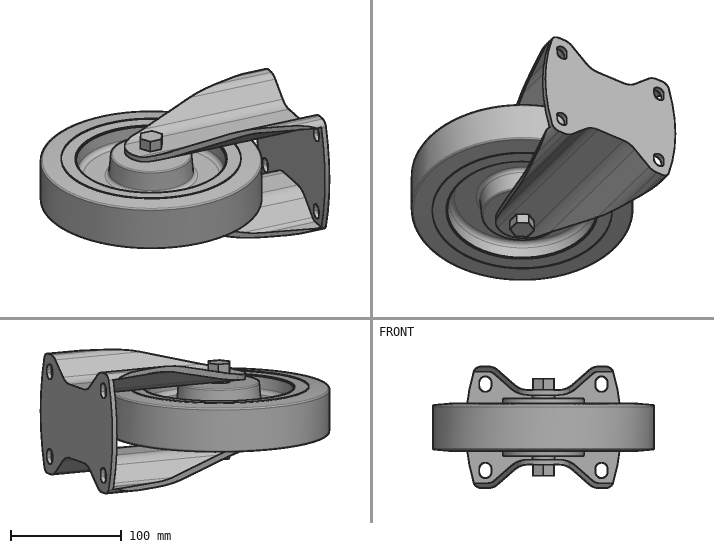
import cadquery as cq
import math


wheel_radius = 100.0
overall_length = 245.0
overall_height = 110.0
plate_y = overall_length - wheel_radius
sheet = 4.7

leg_base_z = 33.8
leg_top_z = overall_height / 2
valley_half_width = 14.0
valley_radius = 18.5
crest_radius = 12.7
bend_angle = math.radians(41.3)
leg_half_width = 63.0
shoulder_z = leg_top_z - sheet
shoulder_radius = 7.5

tip_radius = 24.0
taper_angle = math.radians(15.7)

plate_half_width = 70.3
slot_width = 10.8
slot_length = 13.7
slot_x = 52.5
slot_z = 39.0

tread_edge_z = 20.0
tread_edge_fillet = 1.5
tyre_z = 21.8
rim_z = 21.0
rim_outer_radius = 162.5 / 2
rim_top_radius = 67.5
rim_base_radius = 66.2
rim_chamfer = 1.0
web_z = 5.0
web_outer_fillet = 5.0
web_inner_fillet = 3.7
hub_z = 26.2
hub_top_radius = 36.5
hub_base_radius = 38.5
hub_edge_fillet = 1.2

axle_diameter = 20.0
hex_across_flats = 19.0
hex_z = 43.9


def polar(center, radius, angle):
    """Point at a radius from a center, with the angle taken from straight up."""
    return (center[0] + radius * math.sin(angle), center[1] + radius * math.cos(angle))


def leg_wire(depth):
    """Open half outline from the mid-plane to the shoulder, at a depth below the leg's outer face."""
    wall_rise = leg_top_z - leg_base_z - (valley_radius + crest_radius) * (1 - math.cos(bend_angle))
    wall_run = wall_rise / math.tan(bend_angle)
    valley_center = (valley_half_width, leg_base_z + valley_radius)
    crest_x = valley_half_width + (valley_radius + crest_radius) * math.sin(bend_angle) + wall_run
    crest_center = (crest_x, leg_top_z - crest_radius)
    valley = valley_radius + depth
    crest = crest_radius - depth
    return (
        cq.Workplane("XZ", origin=(0, plate_y, 0))
        .lineTo(0, leg_base_z - depth)
        .lineTo(valley_half_width, leg_base_z - depth)
        .threePointArc(
            polar(valley_center, valley, math.pi - bend_angle / 2),
            polar(valley_center, valley, math.pi - bend_angle),
        )
        .lineTo(*polar(crest_center, crest, -bend_angle))
        .threePointArc(
            polar(crest_center, crest, -bend_angle / 2),
            polar(crest_center, crest, 0),
        )
    )


def inner_block(length):
    """Quarter of the space between the legs, from the plate's rear face towards -Y."""
    return (
        leg_wire(sheet)
        .lineTo(leg_half_width, shoulder_z)
        .lineTo(leg_half_width, 0)
        .close()
        .extrude(length)
    )


def leg_outline():
    """Flat outline of a leg, tall enough to trim the folded sheet."""
    tangent_x = tip_radius * math.cos(taper_angle)
    tangent_y = -tip_radius * math.sin(taper_angle)
    taper_end_y = tangent_y + (leg_half_width - tangent_x) / math.tan(taper_angle)
    return (
        cq.Workplane("XY")
        .moveTo(-leg_half_width, plate_y)
        .lineTo(-leg_half_width, taper_end_y)
        .lineTo(-tangent_x, tangent_y)
        .threePointArc((0, -tip_radius), (tangent_x, tangent_y))
        .lineTo(leg_half_width, taper_end_y)
        .lineTo(leg_half_width, plate_y)
        .close()
        .extrude(overall_height)
    )


def half_leg():
    """Half of the upper leg, on the +X side."""
    length = plate_y + tip_radius
    center_z = leg_top_z - shoulder_radius
    end_angle = math.acos((shoulder_z - center_z) / shoulder_radius)
    center = (leg_half_width - shoulder_radius * math.sin(end_angle), center_z)
    outer_block = (
        leg_wire(0)
        .lineTo(*polar(center, shoulder_radius, 0))
        .threePointArc(
            polar(center, shoulder_radius, end_angle / 2),
            (leg_half_width, shoulder_z),
        )
        .lineTo(leg_half_width, 0)
        .close()
        .extrude(length)
    )
    return outer_block.cut(inner_block(length)).intersect(leg_outline())


def quarter_plate():
    """Slotted plate quarter filling the space between the legs, with a bowed side."""
    bulge = plate_half_width - leg_half_width
    side_radius = (shoulder_z**2 + bulge**2) / (2 * bulge)
    bowed_side = (
        cq.Workplane("XZ", origin=(plate_half_width - side_radius, plate_y, 0))
        .circle(side_radius)
        .extrude(sheet)
    )
    side_strip = (
        cq.Workplane("XZ", origin=(leg_half_width, plate_y, 0))
        .rect(bulge, shoulder_z, centered=False)
        .extrude(sheet)
        .intersect(bowed_side)
    )
    slot = (
        cq.Workplane("XZ", origin=(slot_x, plate_y, slot_z))
        .slot2D(slot_length, slot_width, 90)
        .extrude(sheet)
    )
    return inner_block(sheet).union(side_strip).cut(slot)


def fork():
    quarter = half_leg().union(quarter_plate())
    half = quarter.union(quarter.mirror("YZ"))
    return half.union(half.mirror("XY"))


def ring_edges(radius, z):
    """Selector for the circular edges of the wheel at one radius, on both sides."""
    margin = 0.2
    reach = radius + margin
    upper = cq.selectors.BoxSelector((-reach, -reach, z - margin), (reach, reach, z + margin), True)
    lower = cq.selectors.BoxSelector((-reach, -reach, -z - margin), (reach, reach, -z + margin), True)
    return upper + lower


def wheel():
    upper_side = [
        (wheel_radius, tread_edge_z),
        (rim_outer_radius, tyre_z),
        (rim_outer_radius, rim_z),
        (rim_top_radius, rim_z),
        (rim_base_radius, web_z),
        (hub_base_radius, web_z),
        (hub_top_radius, hub_z),
        (0, hub_z),
    ]
    lower_side = [(radius, -z) for radius, z in reversed(upper_side)]
    body = (
        cq.Workplane("XZ")
        .polyline(upper_side + lower_side)
        .close()
        .revolve(360, (0, 0, 0), (0, 1, 0))
    )
    body = body.edges(ring_edges(wheel_radius, tread_edge_z)).fillet(tread_edge_fillet)
    body = body.edges(ring_edges(hub_top_radius, hub_z)).fillet(hub_edge_fillet)
    body = body.edges(ring_edges(hub_base_radius, web_z)).fillet(web_inner_fillet)
    body = body.edges(ring_edges(rim_base_radius, web_z)).fillet(web_outer_fillet)
    return body.edges(ring_edges(rim_top_radius, rim_z)).chamfer(rim_chamfer)


def axle():
    pin = cq.Workplane("XY").circle(axle_diameter / 2).extrude(leg_base_z, both=True)
    head = (
        cq.Workplane("XY", origin=(0, 0, leg_base_z))
        .polygon(6, hex_across_flats / math.cos(math.pi / 6))
        .extrude(hex_z - leg_base_z)
        .rotate((0, 0, 0), (0, 0, 1), 90)
    )
    return pin.union(head).union(head.mirror("XY"))


result = fork().union(wheel()).union(axle())